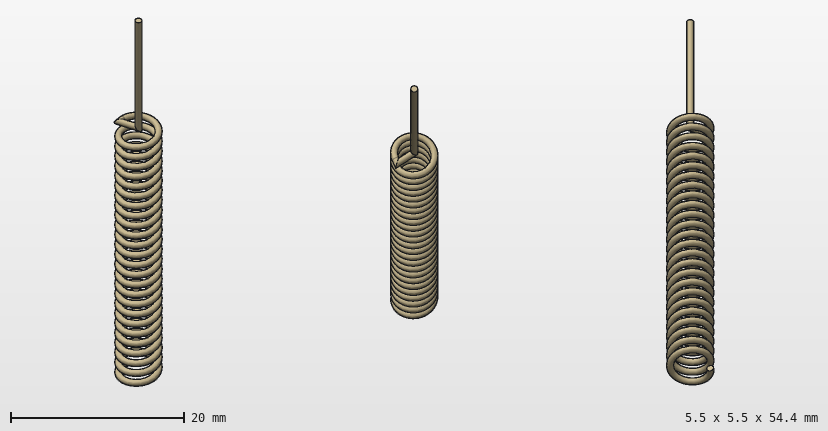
import cadquery as cq
import math

total_height = 54.4
outer_diameter = 5.5
wire_diameter = 0.8
tail_length = 16.4
full_turns = 25
start_lead_angle = 23.0
arm_angle = 13.0

wire_radius = wire_diameter / 2
coil_radius = (outer_diameter - wire_diameter) / 2
coil_bottom = wire_radius
coil_top = total_height - tail_length
coil_height = coil_top - coil_bottom
coil_pitch = coil_height / (full_turns + start_lead_angle / 360)
coil_start_angle = 180 - start_lead_angle
mitre_allowance = 2 * wire_diameter
trim_size = 6 * wire_diameter


def make_coil():
    """Right-handed coil that ends on the -X side, in the XZ plane."""
    path = cq.Wire.makeHelix(coil_pitch, coil_height, coil_radius)
    section = cq.Workplane("XZ").center(coil_radius, 0).circle(wire_radius)
    coil = section.sweep(cq.Workplane(obj=path), isFrenet=True)
    coil = coil.rotate((0, 0, 0), (0, 0, 1), coil_start_angle)
    return coil.translate((0, 0, coil_bottom))


def trim_beyond(leg, corner, plane_normal):
    """Remove the part of a leg that lies ahead of a mitre plane."""
    plane = cq.Plane(origin=corner, normal=plane_normal)
    cutter = cq.Workplane(plane).rect(trim_size, trim_size).extrude(trim_size)
    return leg.cut(cutter)


def make_leg(start, end):
    """Straight wire that runs past both ends by the mitre allowance."""
    direction = (end - start).normalized()
    base = start - direction * mitre_allowance
    length = (end - start).Length + 2 * mitre_allowance
    return cq.Workplane(cq.Solid.makeCylinder(wire_radius, length, base, direction))


def make_tail():
    """Mitred wire from the coil end, inward to the axis and up to the tip."""
    coil_end = cq.Vector(-coil_radius, 0, coil_top)
    outer_corner_y = -coil_radius * math.tan(math.radians(arm_angle))
    outer_corner = cq.Vector(-coil_radius, outer_corner_y, coil_top)
    axis_corner = cq.Vector(0, 0, coil_top)
    tip = cq.Vector(0, 0, total_height)
    points = [coil_end, outer_corner, axis_corner, tip]
    directions = [(end - start).normalized() for start, end in zip(points, points[1:])]

    bisectors = [before + after for before, after in zip(directions, directions[1:])]
    normals = [directions[0]] + bisectors + [directions[-1]]

    legs = []
    for i in range(len(directions)):
        leg = make_leg(points[i], points[i + 1])
        leg = trim_beyond(leg, points[i], normals[i] * -1)
        leg = trim_beyond(leg, points[i + 1], normals[i + 1])
        legs.append(leg)
    return legs[0].union(legs[1]).union(legs[2])


result = make_coil().union(make_tail())